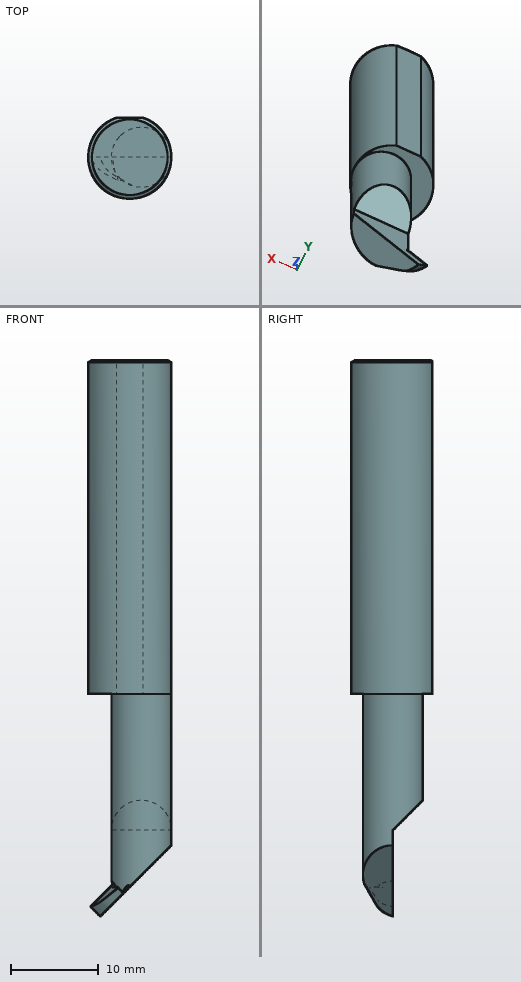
import cadquery as cq
import math

total_length = 63.5
shank_diameter = 9.5
shank_radius = shank_diameter / 2
shank_bottom = 25.4
flat_y = 4.5
chamfer_width = 0.45
chamfer_height = 0.25

neck_diameter = 6.85
neck_radius = neck_diameter / 2
neck_x = shank_radius - neck_radius
relief_height = 9.85

tip_x = -3.35
tongue_thickness = 1.6
tongue_root = 3.75
root_fillet = 0.4
rake_angle = 15.0
nose_middle = (0.9, -1.3)
nose_end = (2.05, -2.0)
flank_angle = 22.0
flank_length = 25.4
flank_end = (
    nose_end[0] + flank_length,
    nose_end[1] - flank_length * math.tan(math.radians(flank_angle)),
)

tip_plane = cq.Plane(origin=(tip_x, 0, 0), xDir=(1, 0, 1), normal=(-1, 0, 1))

section_plane = cq.Plane(origin=(tip_x, 0, 0), xDir=(0, 1, 0), normal=(1, 0, 1))
rake_drop = neck_radius * math.tan(math.radians(rake_angle))


def make_shank():
    shank = (
        cq.Workplane("XY", origin=(0, 0, shank_bottom))
        .circle(shank_radius)
        .extrude(total_length - shank_bottom)
        .faces(">Z")
        .chamfer(chamfer_height, chamfer_width)
    )
    flat_cutter = (
        cq.Workplane("XY", origin=(0, flat_y, 0))
        .rect(shank_diameter, shank_diameter)
        .extrude(total_length)
        .translate((0, shank_radius, 0))
    )
    return shank.cut(flat_cutter)


def make_neck():
    """Round neck with the lower part of its +Y half removed."""
    neck = cq.Workplane("XY", origin=(neck_x, 0, 0)).circle(neck_radius).extrude(shank_bottom)
    relief = (
        cq.Workplane("YZ", origin=(neck_x, 0, 0))
        .moveTo(0, 0)
        .lineTo(0, relief_height)
        .lineTo(neck_diameter, relief_height + neck_diameter)
        .lineTo(neck_diameter, 0)
        .close()
        .extrude(neck_radius, both=True)
    )
    return neck.cut(relief)


def extrude_raked(height):
    """Slab along the tongue between its raked top face and a level at the given height."""
    return (
        cq.Workplane(section_plane)
        .moveTo(0, height)
        .lineTo(0, tongue_thickness)
        .lineTo(-neck_radius, tongue_thickness - rake_drop)
        .lineTo(-neck_radius, height)
        .close()
        .extrude(tongue_root)
    )


def make_tip_envelope():
    """Volume above the sloping underside, bounded by the rounded nose and flank on -Y."""
    return (
        cq.Workplane(tip_plane)
        .moveTo(0, 0)
        .threePointArc(nose_middle, nose_end)
        .lineTo(*flank_end)
        .lineTo(flank_end[0], neck_diameter)
        .lineTo(0, neck_diameter)
        .close()
        .extrude(shank_bottom)
    )


def make_root_cutter():
    """Space above the raked face, blended into the root wall behind it."""
    cutter = extrude_raked(neck_diameter)
    return cutter.faces(">(1, 0, 1)").edges("<(-1, 0, 1)").fillet(root_fillet)


tongue = extrude_raked(0)
blank = make_neck().union(tongue)
neck_and_tip = blank.cut(make_root_cutter()).intersect(make_tip_envelope())
result = make_shank().union(neck_and_tip)